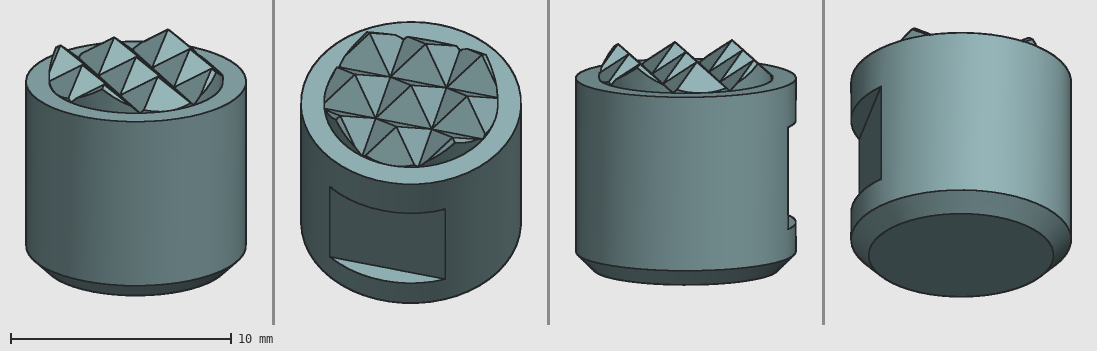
import cadquery as cq

body_diameter = 10.0
total_height = 10.0
bevel = 0.8

teeth_per_side = 3
tooth_height = 1.2
grip_diameter = 7.9
tooth_pitch = grip_diameter / teeth_per_side
body_height = total_height - tooth_height

notch_depth = 0.8
notch_bottom = 2.15
notch_height = 4.7


def make_body():
    body = cq.Workplane("XY").circle(body_diameter / 2).extrude(body_height)
    return body.faces("<Z").chamfer(bevel)


def make_notch():
    """Block whose inner face leaves a flat on the -X side of the body."""
    return cq.Workplane("XY").box(
        notch_depth, body_diameter, notch_height, centered=(False, True, False)
    ).translate((-body_diameter / 2, 0, notch_bottom))


def make_pyramid():
    """One tooth, centred on the origin: two triangular prisms crossed at right angles."""
    half_pitch = tooth_pitch / 2
    profile = [(-half_pitch, 0), (half_pitch, 0), (0, tooth_height)]
    prism_along_y = cq.Workplane("XZ").polyline(profile).close().extrude(half_pitch, both=True)
    prism_along_x = prism_along_y.rotate((0, 0, 0), (0, 0, 1), 90)
    return prism_along_y.intersect(prism_along_x)


def make_teeth():
    """Grid of pyramids, each trimmed to the grip circle, standing on the body top."""
    pyramid = make_pyramid()
    grip_cylinder = cq.Workplane("XY").circle(grip_diameter / 2).extrude(tooth_height)
    first_center = -tooth_pitch * (teeth_per_side - 1) / 2
    teeth = []
    for column in range(teeth_per_side):
        for row in range(teeth_per_side):
            x = first_center + column * tooth_pitch
            y = first_center + row * tooth_pitch
            tooth = pyramid.translate((x, y, 0)).intersect(grip_cylinder)
            teeth.append(tooth.translate((0, 0, body_height)))
    return teeth


result = make_body().cut(make_notch())
for tooth in make_teeth():
    result = result.union(tooth)